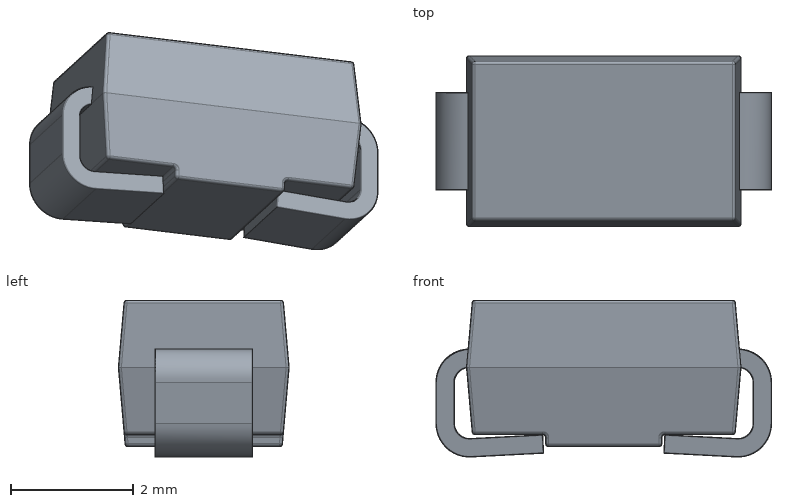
import cadquery as cq
import math

BODY_LENGTH = 4.5
BODY_WIDTH = 2.8
TOP_HEIGHT = 1.1
BOTTOM_DEPTH = 1.3
DRAFT_ANGLE = 5.0
EDGE_RADIUS = 0.05

STEP_DEPTH = 1.1
FOOT_LENGTH = 1.905

OVERALL_LENGTH = 5.5
LEAD_WIDTH = 1.6
LEAD_THICKNESS = 0.3
LEAD_BOTTOM_Z = -1.47
LEAD_EDGE_RADIUS = 0.01
OUTER_BEND_RADIUS = 0.55
LEAD_TAIL_ANGLE = 3.0
LEAD_TAIL_LENGTH = 1.19
LEAD_ROOT_LENGTH = 0.22


def make_half(height):
    """Sharp tapered half of the body, from the parting plane to the given signed height."""
    return cq.Workplane("XY").rect(BODY_LENGTH, BODY_WIDTH).extrude(height, taper=DRAFT_ANGLE)


def make_top_half():
    """Upper half, rounded everywhere but on the parting plane."""
    return make_half(TOP_HEIGHT).edges("not <Z").fillet(EDGE_RADIUS)


def make_bottom_half():
    """Lower half with both ends relieved, rounded everywhere but on the parting plane."""
    half = make_half(-BOTTOM_DEPTH)

    for side in (-1, 1):
        relief_x = side * (FOOT_LENGTH + BODY_LENGTH) / 2
        inner_edge = "<X" if side > 0 else ">X"
        relief = (
            cq.Workplane("XY", origin=(relief_x, 0, -STEP_DEPTH))
            .rect(BODY_LENGTH, BODY_WIDTH)
            .extrude(-BOTTOM_DEPTH)
            .faces(">Z")
            .edges(inner_edge)
            .fillet(EDGE_RADIUS)
        )
        half = half.cut(relief)

    corner_lines = half.faces("%CYLINDER").edges("|Y")
    outline = half.edges("not >Z").vals()
    sharp = [edge for edge in outline if not any(edge.isSame(line) for line in corner_lines.vals())]
    return half.newObject(sharp).fillet(EDGE_RADIUS)


def make_lead():
    """Lead on the -X side: out of the body, down and back under it."""
    inner_bend_radius = OUTER_BEND_RADIUS - LEAD_THICKNESS
    bend_x = -OVERALL_LENGTH / 2 + OUTER_BEND_RADIUS
    upper_z = LEAD_THICKNESS - OUTER_BEND_RADIUS
    lower_z = LEAD_BOTTOM_Z + OUTER_BEND_RADIUS
    root_x = bend_x + LEAD_ROOT_LENGTH

    def on_bend(radius, center_z, degrees):
        angle = math.radians(degrees)
        return (bend_x + radius * math.cos(angle), center_z + radius * math.sin(angle))

    heel_angle = 270 + LEAD_TAIL_ANGLE
    lower_mid_angle = (180 + heel_angle) / 2
    outer_heel = on_bend(OUTER_BEND_RADIUS, lower_z, heel_angle)
    inner_heel = on_bend(inner_bend_radius, lower_z, heel_angle)
    tail_run = LEAD_TAIL_LENGTH * math.cos(math.radians(LEAD_TAIL_ANGLE))
    tail_rise = LEAD_TAIL_LENGTH * math.sin(math.radians(LEAD_TAIL_ANGLE))

    return (
        cq.Workplane("XZ")
        .moveTo(root_x, LEAD_THICKNESS)
        .lineTo(bend_x, LEAD_THICKNESS)
        .threePointArc(on_bend(OUTER_BEND_RADIUS, upper_z, 135), on_bend(OUTER_BEND_RADIUS, upper_z, 180))
        .lineTo(*on_bend(OUTER_BEND_RADIUS, lower_z, 180))
        .threePointArc(on_bend(OUTER_BEND_RADIUS, lower_z, lower_mid_angle), outer_heel)
        .lineTo(outer_heel[0] + tail_run, outer_heel[1] + tail_rise)
        .lineTo(inner_heel[0] + tail_run, inner_heel[1] + tail_rise)
        .lineTo(*inner_heel)
        .threePointArc(
            on_bend(inner_bend_radius, lower_z, lower_mid_angle),
            on_bend(inner_bend_radius, lower_z, 180),
        )
        .lineTo(*on_bend(inner_bend_radius, upper_z, 180))
        .threePointArc(on_bend(inner_bend_radius, upper_z, 135), on_bend(inner_bend_radius, upper_z, 90))
        .lineTo(root_x, 0)
        .close()
        .extrude(LEAD_WIDTH / 2, both=True)
        .faces("<Y or >Y")
        .edges()
        .fillet(LEAD_EDGE_RADIUS)
    )


left_lead = make_lead()
right_lead = left_lead.mirror("YZ")
result = make_top_half().union(make_bottom_half()).union(left_lead).union(right_lead)